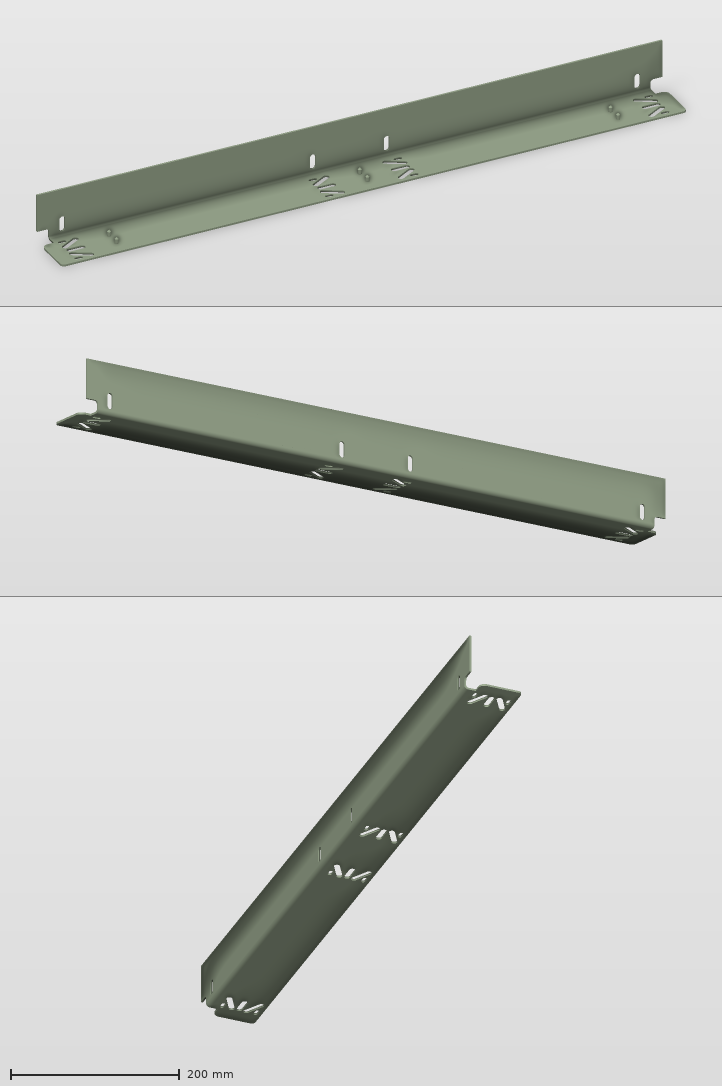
import cadquery as cq
import math

length = 830.0
base_width = 68.0
wall_height = 65.0
sheet = 2.5
bend_inner_radius = 2.5
bend_outer_radius = bend_inner_radius + sheet

relief_width = 15.0
relief_height = 15.0
relief_depth = 16.0
relief_corner_radius = 4.0

relief_side_radius = 7.5
free_side_radius = 5.0

stud_diameter = 5.0
stud_chamfer = 2.0
stud_top = 10.0
stud_spacing = 20.0
stud_pair_pitch = 333.0

pattern_x = 39.0

group_offset = 49.0
group_places = (group_offset, stud_pair_pitch + group_offset)

slot_width = 7.5
straight_slot_length = 24.0
slant_angle = 30.0
slant_slot_width = 7.5
slant_slot_length = 30.0
slant_slot_offset = 15.0
side_slot_width = 5.0
side_slot_length = 11.0
side_slot_x = 21.5
side_slot_y = 7.5

wall_slot_width = 7.5
wall_slot_length = 20.0
wall_slot_z = 17.5


def angle_section():
    """L-shaped sheet section with a rounded bend, extruded along Y."""
    outline = (
        cq.Workplane("XZ")
        .moveTo(base_width, 0)
        .lineTo(bend_outer_radius, 0)
        .radiusArc((0, bend_outer_radius), bend_outer_radius)
        .lineTo(0, wall_height)
        .lineTo(sheet, wall_height)
        .lineTo(sheet, bend_outer_radius)
        .radiusArc((bend_outer_radius, sheet), -bend_inner_radius)
        .lineTo(base_width, sheet)
        .close()
    )
    return outline.extrude(length / 2, both=True)


def end_relief(side):
    """Block that clears the bend at one end, rounded where it meets the wall."""
    block = (
        cq.Workplane("XY")
        .box(relief_width, 2 * relief_depth, 2 * relief_height)
        .edges(">Z and |X")
        .fillet(relief_corner_radius)
    )
    return block.translate((relief_width / 2, side * length / 2, 0))


def base_slot(x, y, slot_length, width, angle):
    """Round-ended cutter through the base, its axis turned from +Y by the angle."""
    return (
        cq.Workplane("XY")
        .center(x, y)
        .slot2D(slot_length, width, 90 + angle)
        .extrude(sheet)
    )


def slot_fan(y):
    """Five slots that close up toward the nearer end of the part."""
    side = math.copysign(1, y)
    fan = base_slot(pattern_x, y, straight_slot_length, slot_width, 0)
    for hand in (-1, 1):
        slant_x = pattern_x + hand * slant_slot_offset
        slant = side * hand * slant_angle
        fan = fan.union(base_slot(slant_x, y, slant_slot_length, slant_slot_width, slant))
        side_x = pattern_x + hand * side_slot_x
        side_y = y + side * side_slot_y
        fan = fan.union(base_slot(side_x, side_y, side_slot_length, side_slot_width, 0))
    return fan


def wall_slot(y):
    """Upright round-ended cutter through the wall."""
    return (
        cq.Workplane("YZ")
        .center(y, wall_slot_z)
        .slot2D(wall_slot_length, wall_slot_width, 90)
        .extrude(sheet)
    )


def stud(x, y):
    """Round stud rooted in the base, chamfered at its tip."""
    return (
        cq.Workplane("XY")
        .center(x, y)
        .circle(stud_diameter / 2)
        .extrude(stud_top)
        .faces(">Z")
        .chamfer(stud_chamfer)
    )


result = angle_section()

for side in (-1, 1):
    result = result.cut(end_relief(side))

for corner_x, radius in ((relief_width, relief_side_radius), (base_width, free_side_radius)):
    for side in (-1, 1):
        corner = cq.selectors.NearestToPointSelector((corner_x, side * length / 2, sheet / 2))
        result = result.edges("|Z").edges(corner).fillet(radius)

for side in (-1, 1):
    for place in group_places:
        result = result.cut(slot_fan(side * place))
        result = result.cut(wall_slot(side * place))

for pair_y in (-stud_pair_pitch, 0, stud_pair_pitch):
    for hand in (-1, 1):
        result = result.union(stud(pattern_x + hand * stud_spacing / 2, pair_y))